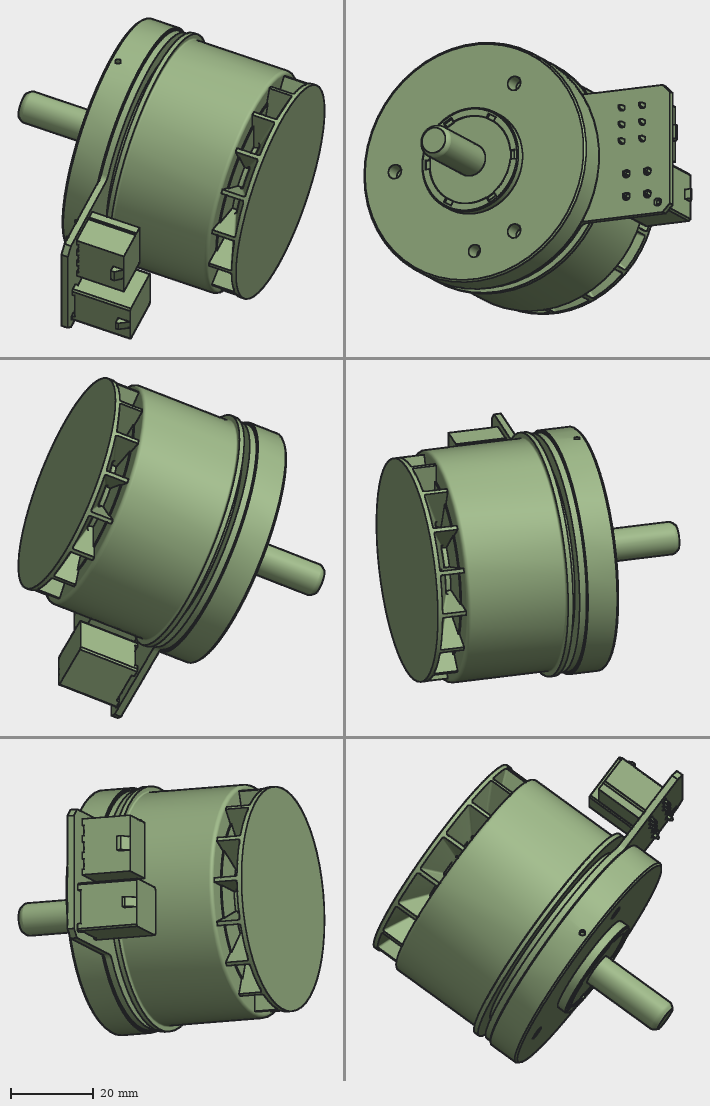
import cadquery as cq
import math


shaft_tip_x = -23.0
boss_front_x = -2.6
flange_rear_x = 8.05
board_rear_x = 9.8
rim_front_x = 11.6
can_front_x = 12.9
can_rear_x = 38.0
fan_rear_x = 45.2

shaft_radius = 4.0
shaft_tip_radius = 3.15
boss_radius = 13.0
flange_radius = 30.0
neck_radius = 25.1
can_radius = 28.6
tip_chamfer_end_x = shaft_tip_x + 0.7
tip_chamfer_end_radius = 3.7
tip_round_end_x = tip_chamfer_end_x + 0.7
boss_chamfer = 0.3
flange_front_chamfer = 0.5
flange_rear_chamfer = 0.2
can_front_fillet = 0.4
can_rear_round = 0.95

recess_radius = 11.0
recess_depth = 0.4
notch_count = 6
notch_length = 1.1
notch_overlap = 0.1
notch_width = 2.3
notch_depth = 0.7
mount_hole_count = 3
mount_hole_radius = 1.7
mount_hole_circle = 21.5
mount_hole_depth = 4.75
pin_hole_radius = 1.6
pin_hole_offset = 22.4
pin_hole_depth = 4.75
side_hole_radius = 0.7
side_hole_x = 2.1
side_hole_depth = 2.4
drill_tip_angle = 118

fan_radius = 27.5
blade_count = 16
blade_thickness = 1.0
blade_fillet = 0.5
plate_radius = 23.15
plate_rear_x = can_rear_x + 0.3
hub_radius = 14.9
hub_rear_x = plate_rear_x + 0.3
dish_start_x = 40.0
dish_start_radius = 16.4
dish_rim_x = 44.0
cut_margin = 1.2

board_disc_radius = 29.4
board_end_y = -49.0
board_half_width = 16.0
board_corner_chamfer = 2.0
board_root_fillet = 2.0

connector_inner_y = -33.9
upper_outer_y = -43.6
upper_rear_x = 22.35
upper_bottom_z = 0.3
upper_top_z = 14.2
rib_height = 0.2
rib_foot_y = -35.8
rib_crest_y = -36.4
upper_slot_height = 0.5
upper_slot_width = 2.6
upper_latch_length = 2.85
upper_latch_tip = 0.95
upper_latch_height = 1.5
upper_latch_z = (5.5, 8.9)
upper_pin_rows_y = (-36.1, -41.6)
upper_pin_columns_z = (3.0, 7.2, 11.4)
upper_pin_section = (0.6, 1.2)
upper_pin_tip_section = (0.3, 0.55)
upper_pin_shoulder = 1.0
upper_pin_reach = 1.8
upper_pin_hole_radius = 0.7

lower_outer_y = -46.4
lower_rear_x = 25.2
lower_bottom_z = -14.15
lower_top_z = -2.2
lower_chamfer = 0.5
lower_slot_height = 0.7
lower_slot_width = 8.4
lower_latch_length = 3.15
lower_latch_tip = 0.6
lower_latch_height = 1.6
lower_latch_z = (-9.3, -6.95)
lower_pin_rows_y = (-37.2, -42.9)
lower_pin_columns_z = (-5.3, -11.0)
lower_pin_section = (0.95, 0.95)
lower_pin_tip_section = (0.4, 0.4)
lower_pin_shoulder = 0.95
lower_pin_reach = 1.5
lower_pin_hole_radius = 0.95
peg_y = -45.7
peg_z = -13.35
peg_radius = 0.5
peg_hole_radius = 0.95
peg_hole_depth = 1.6
peg_setback = 0.4

pin_embedding = 1.2


def revolve_about_shaft(outline):
    return outline.close().revolve(360, (0, 0), (1, 0))


def turned(start_x, end_x, radius):
    return cq.Workplane("YZ", origin=(start_x, 0, 0)).circle(radius).extrude(end_x - start_x)


def block(x_range, y_range, z_range):
    lengths = [high - low for low, high in (x_range, y_range, z_range)]
    corner = cq.Vector(x_range[0], y_range[0], z_range[0])
    return cq.Workplane("XY").box(*lengths, centered=False).translate(corner)


def around_shaft(shape, count, step=None):
    step = step or 360 / count
    copies = [shape.rotate((0, 0, 0), (1, 0, 0), i * step) for i in range(count)]
    return cq.Workplane("XY").newObject([copy.val() for copy in copies])


def cut_all(body, tools):
    for tool in tools.vals():
        body = body.cut(tool)
    return body


def drill(radius, depth, start, direction):
    """Blind drilled hole with a conical bottom."""
    tip_length = radius / math.tan(math.radians(drill_tip_angle / 2))
    start, direction = cq.Vector(*start), cq.Vector(*direction)
    hole = cq.Solid.makeCylinder(radius, depth, start, direction)
    tip = cq.Solid.makeCone(radius, 0, tip_length, start + direction * depth, direction)
    return cq.Workplane("XY").newObject([hole.fuse(tip)])


def make_shaft():
    outline = (
        cq.Workplane("XY")
        .moveTo(0, 0)
        .lineTo(shaft_tip_x, 0)
        .lineTo(shaft_tip_x, shaft_tip_radius)
        .lineTo(tip_chamfer_end_x, tip_chamfer_end_radius)
        .tangentArcPoint((tip_round_end_x, shaft_radius), relative=False)
        .lineTo(0, shaft_radius)
    )
    return revolve_about_shaft(outline)


def make_front():
    """Flange and centring boss with the recess, notches and drilled holes."""
    flange = turned(0, flange_rear_x, flange_radius)
    flange = flange.faces("<X").chamfer(flange_front_chamfer)
    flange = flange.faces(">X").chamfer(flange_rear_chamfer)
    boss = turned(boss_front_x, flange_rear_x, boss_radius).faces("<X").chamfer(boss_chamfer)
    front = flange.union(boss)

    front = front.cut(turned(boss_front_x, boss_front_x + recess_depth, recess_radius))
    notch = block(
        (boss_front_x, boss_front_x + notch_depth),
        (recess_radius - notch_overlap, recess_radius + notch_length),
        (-notch_width / 2, notch_width / 2),
    )
    front = cut_all(front, around_shaft(notch, notch_count))

    mount_hole = drill(mount_hole_radius, mount_hole_depth, (0, mount_hole_circle, 0), (1, 0, 0))
    front = cut_all(front, around_shaft(mount_hole, mount_hole_count))
    pin_hole = turned(0, pin_hole_depth, pin_hole_radius).translate((0, 0, -pin_hole_offset))
    side_hole = drill(side_hole_radius, side_hole_depth, (side_hole_x, 0, flange_radius), (0, 0, -1))
    return front.cut(pin_hole).cut(side_hole)


def make_can():
    """Neck, thin rim and motor can, with a fillet where the can meets the rim."""
    outline = (
        cq.Workplane("XY")
        .moveTo(board_rear_x, 0)
        .lineTo(board_rear_x, neck_radius)
        .lineTo(rim_front_x, neck_radius)
        .lineTo(rim_front_x, flange_radius)
        .lineTo(can_front_x, flange_radius)
        .lineTo(can_front_x, can_radius + can_front_fillet)
        .tangentArcPoint((can_front_fillet, -can_front_fillet))
        .lineTo(can_rear_x - can_rear_round, can_radius)
        .tangentArcPoint((can_rear_round, -can_rear_round))
        .lineTo(can_rear_x, 0)
    )
    return revolve_about_shaft(outline)


def make_fan_cell():
    """Air space between two neighbouring blades, rounded where it meets hub and dish."""
    pitch = 360 / blade_count
    dish_slope = (dish_rim_x - dish_start_x) / (fan_radius - dish_start_radius)
    outside_radius = fan_radius + cut_margin
    outside_x = dish_rim_x + dish_slope * (outside_radius - fan_radius)
    ring = (
        cq.Workplane("XY")
        .moveTo(can_rear_x, outside_radius)
        .lineTo(can_rear_x, plate_radius)
        .lineTo(plate_rear_x, plate_radius)
        .lineTo(plate_rear_x, hub_radius)
        .lineTo(hub_rear_x, hub_radius)
        .tangentArcPoint((dish_start_x, dish_start_radius), relative=False)
        .lineTo(outside_x, outside_radius)
        .close()
        .revolve(pitch, (0, 0), (1, 0))
    )
    blade = block(
        (can_rear_x, fan_rear_x),
        (0, outside_radius + cut_margin),
        (-blade_thickness / 2, blade_thickness / 2),
    )
    cell = cut_all(ring, around_shaft(blade, 2, pitch))
    return cell.edges("%HYPERBOLA").fillet(blade_fillet)


def make_fan():
    drum = turned(can_rear_x, fan_rear_x, fan_radius)
    return cut_all(drum, around_shaft(make_fan_cell(), blade_count))


def make_board():
    disc = turned(flange_rear_x, board_rear_x, board_disc_radius)
    tab = block((flange_rear_x, board_rear_x), (board_end_y, 0), (-board_half_width, board_half_width))
    tab = tab.edges("|X and <Y").chamfer(board_corner_chamfer)
    root_y = -math.sqrt(board_disc_radius**2 - board_half_width**2)
    root_zone = cq.selectors.BoxSelector(
        (flange_rear_x, root_y - board_root_fillet, -board_disc_radius),
        (board_rear_x, root_y + board_root_fillet, board_disc_radius),
    )
    return disc.union(tab).edges("|X").edges(root_zone).fillet(board_root_fillet)


def make_latch(rear_x, length, tip_length, wall_y, height, z_range):
    """Wedge-shaped latch on the outer wall of a connector, sloping away to its rear end."""
    front_x = rear_x - length
    return (
        cq.Workplane("XY", origin=(0, 0, z_range[0]))
        .moveTo(front_x, wall_y)
        .lineTo(front_x, wall_y - height)
        .lineTo(front_x + tip_length, wall_y - height)
        .lineTo(rear_x, wall_y)
        .close()
        .extrude(z_range[1] - z_range[0])
    )


def make_upper_connector():
    """Housing with a sawtooth rib along its top and a slot under each pin column."""
    body = (
        cq.Workplane("YZ", origin=(board_rear_x, 0, 0))
        .moveTo(connector_inner_y, upper_bottom_z)
        .lineTo(connector_inner_y, upper_top_z)
        .lineTo(rib_foot_y, upper_top_z)
        .lineTo(rib_crest_y, upper_top_z + rib_height)
        .lineTo(rib_crest_y, upper_top_z)
        .lineTo(upper_outer_y, upper_top_z)
        .lineTo(upper_outer_y, upper_bottom_z)
        .close()
        .extrude(upper_rear_x - board_rear_x)
    )
    for z in upper_pin_columns_z:
        slot = block(
            (board_rear_x, board_rear_x + upper_slot_height),
            (upper_outer_y, connector_inner_y),
            (z - upper_slot_width / 2, z + upper_slot_width / 2),
        )
        body = body.cut(slot)
    latch = make_latch(
        upper_rear_x,
        upper_latch_length,
        upper_latch_tip,
        upper_outer_y,
        upper_latch_height,
        upper_latch_z,
    )
    return body.union(latch)


def make_lower_connector():
    """Housing standing on four corner feet left by two crossing slots."""
    y_range = (lower_outer_y, connector_inner_y)
    z_range = (lower_bottom_z, lower_top_z)
    body = block((board_rear_x, lower_rear_x), y_range, z_range).edges("|X").chamfer(lower_chamfer)
    slot_x_range = (board_rear_x, board_rear_x + lower_slot_height)
    middle_y = sum(y_range) / 2
    middle_z = sum(z_range) / 2
    half_slot = lower_slot_width / 2
    body = body.cut(block(slot_x_range, y_range, (middle_z - half_slot, middle_z + half_slot)))
    body = body.cut(block(slot_x_range, (middle_y - half_slot, middle_y + half_slot), z_range))
    latch = make_latch(
        lower_rear_x,
        lower_latch_length,
        lower_latch_tip,
        lower_outer_y,
        lower_latch_height,
        lower_latch_z,
    )
    return body.union(latch)


def make_pin(section, tip_section, shoulder, reach):
    """Contact pin along X, starting inside its connector and tapering from shoulder to tip.

    Shoulder and reach are measured from the front of the board; sections are (Y, Z) sizes.
    """
    base_x = board_rear_x + pin_embedding
    shoulder_x = flange_rear_x - shoulder
    stem = cq.Workplane("YZ", origin=(shoulder_x, 0, 0)).rect(*section).extrude(base_x - shoulder_x)
    tip = (
        cq.Workplane("YZ", origin=(shoulder_x, 0, 0))
        .rect(*section)
        .workplane(offset=shoulder - reach)
        .rect(*tip_section)
        .loft()
    )
    return stem.union(tip)


def place_pins(board, pin, hole_radius, rows_y, columns_z):
    """Drill a clearance hole in the board for each pin and return the board and the pins."""
    places = [(0, y, z) for y in rows_y for z in columns_z]
    hole = turned(flange_rear_x, board_rear_x, hole_radius)
    for place in places:
        board = board.cut(hole.translate(place))
    return board, [pin.translate(place) for place in places]


upper_pin = make_pin(upper_pin_section, upper_pin_tip_section, upper_pin_shoulder, upper_pin_reach)
lower_pin = make_pin(lower_pin_section, lower_pin_tip_section, lower_pin_shoulder, lower_pin_reach)
board, upper_pins = place_pins(
    make_board(), upper_pin, upper_pin_hole_radius, upper_pin_rows_y, upper_pin_columns_z
)
board, lower_pins = place_pins(
    board, lower_pin, lower_pin_hole_radius, lower_pin_rows_y, lower_pin_columns_z
)
peg_place = (0, peg_y, peg_z)
peg_hole = turned(flange_rear_x, flange_rear_x + peg_hole_depth, peg_hole_radius).translate(peg_place)
peg = turned(flange_rear_x + peg_setback, board_rear_x, peg_radius).translate(peg_place)
board = board.cut(peg_hole)

result = make_front()
other_parts = [
    make_shaft(),
    board,
    make_can(),
    make_fan(),
    make_upper_connector(),
    make_lower_connector(),
    peg,
]
for part in other_parts + upper_pins + lower_pins:
    result = result.union(part)